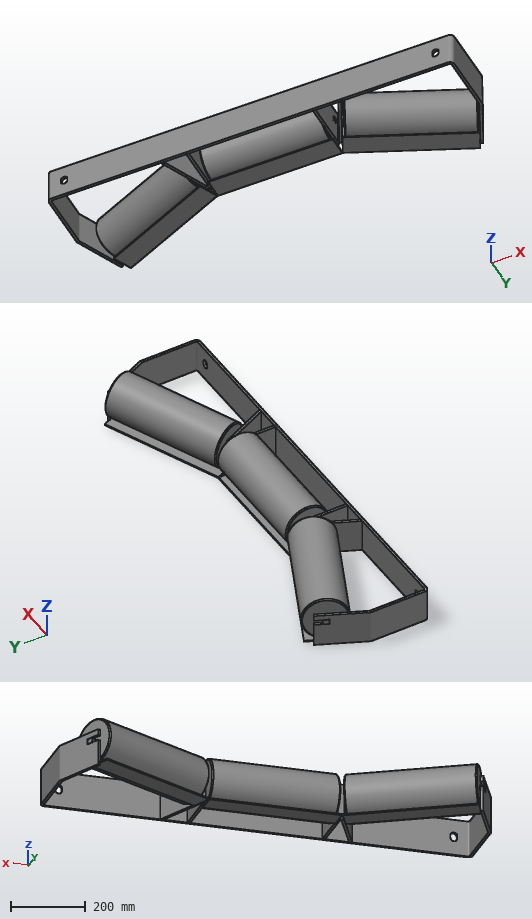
import cadquery as cq
import math

TROUGH_ANGLE = math.radians(25)
RISE_ANGLE = math.radians(1.6)
SIN_TROUGH = math.sin(TROUGH_ANGLE)
COS_TROUGH = math.cos(TROUGH_ANGLE)
SIDES = (-1, 1)

FRAME_HALF_LENGTH = 605.0
FRAME_HEIGHT = 102.0
SHEET = 8.0
END_BEND_Y = 182.0
END_TIP_Y = 321.0
BEND_OUTER_RADIUS = 13.0
BEND_INNER_RADIUS = BEND_OUTER_RADIUS - SHEET
MOUNT_HOLE_X = 554.0
MOUNT_HOLE_Z = 52.0
MOUNT_HOLE_WIDTH = 19.0
MOUNT_HOLE_HEIGHT = 25.0

ROLLER_DIAMETER = 134.0
ROLLER_RADIUS = ROLLER_DIAMETER / 2
ROLLER_LENGTH = 360.0
ROLLER_CHAMFER = 4.0
ROLLER_GAP = 5.0
AXIS_Z = 68.0
MIDDLE_ROLLER_Y = 126.0
SIDE_ROLLER_OFFSET = 29.0

AXLE_RADIUS = 10.0
AXLE_FLAT_HEIGHT = 15.0

LEG_INNER_X = ROLLER_LENGTH / 2 + ROLLER_GAP
LEG_OUTER_X = LEG_INNER_X + SHEET
BRIDGE_Y = 150.0

GUARD_WIDTH = 59.0
GUARD_THICKNESS = 4.2
GUARD_BRACKET_OVERHANG = 6.0
GUARD_FRAME_OVERHANG = 2.0

END_OUTER_FACE = FRAME_HALF_LENGTH * COS_TROUGH + END_BEND_Y * SIN_TROUGH
ROLLER_OUTER_FACE = END_OUTER_FACE - SHEET - ROLLER_GAP
ROLLER_INNER_FACE = ROLLER_OUTER_FACE - ROLLER_LENGTH * math.cos(RISE_ANGLE)
SLANTED_LEG_FACE = ROLLER_INNER_FACE - ROLLER_GAP


def on_sloping_face(distance, y):
    """Plan point with this Y on the +X sloping face at this distance from the origin."""
    return ((distance - y * SIN_TROUGH) / COS_TROUGH, y)


def round_upright_edge(body, x, y, radius):
    return body.edges(cq.selectors.NearestToPointSelector((x, y, FRAME_HEIGHT / 2))).fillet(radius)


def make_frame():
    inner_face = END_OUTER_FACE - SHEET
    inner_x = FRAME_HALF_LENGTH - SHEET
    inner_bend_y = (inner_face - inner_x * COS_TROUGH) / SIN_TROUGH
    outer_tip = on_sloping_face(END_OUTER_FACE, END_TIP_Y)
    inner_tip = (outer_tip[0] - SHEET * COS_TROUGH, outer_tip[1] - SHEET * SIN_TROUGH)
    right_half = [
        (FRAME_HALF_LENGTH, 0),
        (FRAME_HALF_LENGTH, END_BEND_Y),
        outer_tip,
        inner_tip,
        (inner_x, inner_bend_y),
        (inner_x, SHEET),
    ]
    left_half = [(-x, y) for x, y in reversed(right_half)]
    frame = cq.Workplane("XY").polyline(right_half + left_half).close().extrude(FRAME_HEIGHT)

    for side in SIDES:
        for y in (0, END_BEND_Y):
            frame = round_upright_edge(frame, side * FRAME_HALF_LENGTH, y, BEND_OUTER_RADIUS)
        for y in (SHEET, inner_bend_y):
            frame = round_upright_edge(frame, side * inner_x, y, BEND_INNER_RADIUS)
        frame = frame.cut(make_end_slot(side))

    mount_holes = (
        cq.Workplane("XZ", origin=(0, 0, MOUNT_HOLE_Z))
        .pushPoints([(side * MOUNT_HOLE_X, 0) for side in SIDES])
        .slot2D(MOUNT_HOLE_HEIGHT, MOUNT_HOLE_WIDTH, 90)
        .extrude(-SHEET)
    )
    return frame.cut(mount_holes)


def side_plane(side):
    """Plane on a side roller's inner face: normal along its axis, local X toward the +Y tips."""
    center = (
        side * (ROLLER_INNER_FACE * COS_TROUGH - SIDE_ROLLER_OFFSET * SIN_TROUGH),
        ROLLER_INNER_FACE * SIN_TROUGH + SIDE_ROLLER_OFFSET * COS_TROUGH,
        AXIS_Z,
    )
    along_face = (-side * SIN_TROUGH, COS_TROUGH, 0)
    axis = (
        side * COS_TROUGH * math.cos(RISE_ANGLE),
        SIN_TROUGH * math.cos(RISE_ANGLE),
        math.sin(RISE_ANGLE),
    )
    return cq.Plane(origin=center, xDir=along_face, normal=axis)


def middle_plane():
    """Plane on the middle roller's -X face: normal along +X, local X toward +Y."""
    center = (-ROLLER_LENGTH / 2, MIDDLE_ROLLER_Y, AXIS_Z)
    return cq.Plane(origin=center, xDir=(0, 1, 0), normal=(1, 0, 0))


def make_roller(plane):
    """Chamfered roller standing on the plane, with a flattened axle end passing out of each face."""
    overhang = ROLLER_GAP + SHEET
    axle_length = ROLLER_LENGTH + 2 * overhang
    axle_start = cq.Workplane(plane).workplane(offset=-overhang)
    axle = axle_start.circle(AXLE_RADIUS).extrude(axle_length)
    flats = axle_start.rect(2 * AXLE_RADIUS, AXLE_FLAT_HEIGHT).extrude(axle_length)
    drum = cq.Workplane(plane).circle(ROLLER_RADIUS).extrude(ROLLER_LENGTH).edges().chamfer(ROLLER_CHAMFER)
    return drum.union(axle.intersect(flats))


def make_guard(plane, end_overhang):
    """Plate touching a roller along its lowest line, let into a bracket at the end nearer the plane."""
    underside = -1 if plane.yDir.z > 0 else 1
    return (
        cq.Workplane(plane)
        .workplane(offset=-GUARD_BRACKET_OVERHANG)
        .center(GUARD_WIDTH / 2, underside * (ROLLER_RADIUS + GUARD_THICKNESS / 2))
        .rect(GUARD_WIDTH, GUARD_THICKNESS)
        .extrude(GUARD_BRACKET_OVERHANG + ROLLER_LENGTH + end_overhang)
    )


def make_end_slot(side):
    """Slot for the outer end of a side axle, open at the tip of the frame."""
    length = END_TIP_Y - END_BEND_Y
    return (
        cq.Workplane(side_plane(side))
        .workplane(offset=ROLLER_LENGTH)
        .center(length / 2 - AXLE_RADIUS, 0)
        .rect(length, AXLE_FLAT_HEIGHT)
        .extrude(2 * (ROLLER_GAP + SHEET))
    )


def make_bracket(side, cutters):
    """Bracket with its holes and reliefs cut by the bodies that rest in it."""
    back_face = SLANTED_LEG_FACE - SHEET
    outline = [
        (LEG_INNER_X, SHEET),
        (LEG_INNER_X, BRIDGE_Y),
        on_sloping_face(SLANTED_LEG_FACE, BRIDGE_Y),
        on_sloping_face(SLANTED_LEG_FACE, SHEET),
        on_sloping_face(back_face, SHEET),
        on_sloping_face(back_face, BRIDGE_Y - SHEET),
        (LEG_OUTER_X, BRIDGE_Y - SHEET),
        (LEG_OUTER_X, SHEET),
    ]
    bracket = (
        cq.Workplane("XY")
        .polyline([(side * x, y) for x, y in outline])
        .close()
        .extrude(FRAME_HEIGHT)
    )
    for cutter in cutters:
        bracket = bracket.cut(cutter)
    return bracket


frame = make_frame()

middle_roller = make_roller(middle_plane())
rollers = [middle_roller]
middle_guard = make_guard(middle_plane(), GUARD_BRACKET_OVERHANG)
guards = [middle_guard]
brackets = []
for side in SIDES:
    side_roller = make_roller(side_plane(side))
    side_guard = make_guard(side_plane(side), GUARD_FRAME_OVERHANG)
    rollers.append(side_roller)
    guards.append(side_guard)
    brackets.append(make_bracket(side, [middle_roller, middle_guard, side_roller, side_guard]))

bodies = [frame, *rollers, *guards, *brackets]
result = cq.Compound.makeCompound([body.val() for body in bodies])